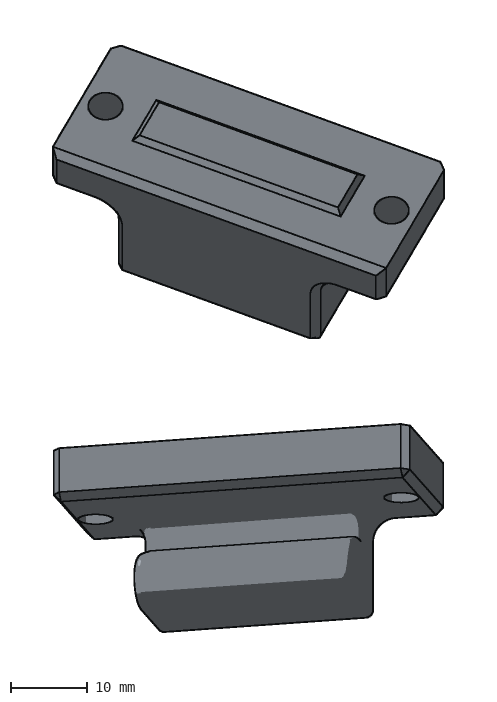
import cadquery as cq
import math

plate_length = 48.0
plate_depth = 20.0
plate_thickness = 7.0
plate_top = 20.3
plate_bottom = plate_top - plate_thickness

pad_length = 30.0
pad_depth = 7.5
pad_height = 0.7

hole_diameter = 4.5
hole_spacing = 41.2

body_length = 29.1
neck_depth = 8.25
hook_radius = 4.0
hook_reach = 14.35
hook_slope = math.radians(20)

edge_chamfer = 1.0
edge_round = 1.0
junction_fillet = 3.0

tolerance = 0.005


def make_plate():
    return cq.Workplane("XY").box(
        plate_length, plate_depth, plate_thickness, centered=(True, False, False)
    ).translate((0, 0, plate_bottom))


def make_body():
    center_y = hook_reach - hook_radius
    tangent_y = center_y + hook_radius * math.sin(hook_slope)
    tangent_z = hook_radius + hook_radius * math.cos(hook_slope)
    neck_z = tangent_z + (tangent_y - neck_depth) * math.tan(hook_slope)
    body = (
        cq.Workplane("YZ")
        .moveTo(0, 0)
        .lineTo(center_y, 0)
        .threePointArc(
            (
                center_y + hook_radius * math.cos(hook_slope / 2),
                hook_radius - hook_radius * math.sin(hook_slope / 2),
            ),
            (tangent_y, tangent_z),
        )
        .lineTo(neck_depth, neck_z)
        .lineTo(neck_depth, plate_bottom)
        .lineTo(0, plate_bottom)
        .close()
        .extrude(body_length / 2, both=True)
    )
    rounded = body.faces("<X or >X").edges("not (<Y or >Z)")
    return rounded.fillet(edge_round)


def blend_junction(part):
    margin = edge_chamfer
    joint = cq.selectors.BoxSelector(
        (-body_length / 2 - margin, -margin, plate_bottom - tolerance),
        (body_length / 2 + margin, neck_depth + margin, plate_bottom + tolerance),
        boundingbox=True,
    )
    front = cq.selectors.BoxSelector(
        (-plate_length, -tolerance, 0),
        (plate_length, tolerance, plate_top),
        boundingbox=True,
    )
    return part.edges(joint - front).fillet(junction_fillet)


def chamfer_edges(part):
    front_outline = part.faces("<Y").edges()
    rear_corners = part.faces(">Y").edges("|Z")
    plate_underside = part.faces(
        cq.selectors.BoxSelector(
            (-plate_length, -tolerance, plate_bottom - tolerance),
            (plate_length, plate_depth + tolerance, plate_bottom + tolerance),
            boundingbox=True,
        )
    )
    rear_lower_edge = part.faces(">Y").edges("<Z")
    side_lower_edges = plate_underside.edges("<X or >X")
    edges = front_outline.add(rear_corners).add(rear_lower_edge).add(side_lower_edges)
    return edges.chamfer(edge_chamfer)


def make_pad():
    bevel_angle = 45
    return (
        cq.Workplane("XY", origin=(0, plate_depth / 2, plate_top))
        .rect(pad_length, pad_depth)
        .extrude(pad_height, taper=bevel_angle)
    )


def drill_holes(part):
    drills = (
        cq.Workplane("XY", origin=(0, plate_depth / 2, 0))
        .pushPoints([(-hole_spacing / 2, 0), (hole_spacing / 2, 0)])
        .circle(hole_diameter / 2)
        .extrude(plate_top)
    )
    return part.cut(drills)


blank = blend_junction(make_plate().union(make_body()))
result = drill_holes(chamfer_edges(blank).union(make_pad()))